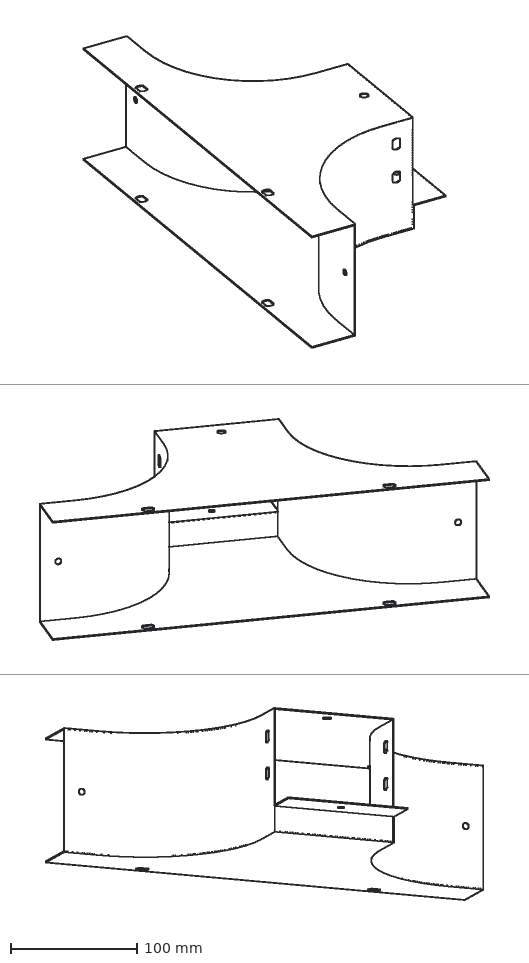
import cadquery as cq


sheet = 1.0
height = 101.0
neck_half_width = 51.0
bend_radius = 99.0
straight_length = 29.0
run_depth = 40.0
tab_reach = 30.0
tab_top = 22.0

screw_diameter = 5.0
bolt_diameter = 7.0
slot_length = 10.0
slot_width = 7.0
hole_end_distance = 15.0
edge_slot_spacing = 198.0
edge_slot_inset = 6.5
wall_slot_drop = 20.0
wall_slot_pitch = 30.0

run_half_length = neck_half_width + bend_radius + straight_length
bend_end_x = neck_half_width + bend_radius
bend_end_y = run_depth + bend_radius
branch_end_y = bend_end_y + straight_length
tab_end_y = branch_end_y + tab_reach
mid_height = height / 2
arc_cos = 0.5 ** 0.5


def tee_prism(offset, bottom_z, top_z):
    """Solid with the tee outline, its run and branch walls set inward by offset."""
    neck_x = neck_half_width - offset
    arm_y = run_depth - offset
    arc_drop = (bend_radius + offset) * arc_cos
    mid_x = bend_end_x - arc_drop
    mid_y = bend_end_y - arc_drop
    outline = (
        cq.Workplane("XY", origin=(0, 0, bottom_z))
        .moveTo(-run_half_length, 0)
        .lineTo(run_half_length, 0)
        .lineTo(run_half_length, arm_y)
        .lineTo(bend_end_x, arm_y)
        .threePointArc((mid_x, mid_y), (neck_x, bend_end_y))
        .lineTo(neck_x, branch_end_y)
        .lineTo(-neck_x, branch_end_y)
        .lineTo(-neck_x, bend_end_y)
        .threePointArc((-mid_x, mid_y), (-bend_end_x, arm_y))
        .lineTo(-run_half_length, arm_y)
        .close()
    )
    return outline.extrude(top_z - bottom_z)


def channel():
    """Top and bottom plates joined by the two bent walls, open at all three ends and along Y = 0."""
    body = tee_prism(0, 0, height)
    interior = tee_prism(sheet, sheet, height - sheet)
    return body.cut(interior)


def joining_tab():
    """Step at the branch end: an upright from the bottom plate and a tab pointing to +Y."""
    upright = cq.Workplane("XY").box(
        2 * neck_half_width, sheet, tab_top, centered=(True, False, False)
    )
    tab = cq.Workplane("XY", origin=(0, 0, tab_top - sheet)).box(
        2 * neck_half_width, tab_reach, sheet, centered=(True, False, False)
    )
    return upright.union(tab).translate((0, branch_end_y, 0))


def flatted_hole_cutter(depth):
    """Round cutter along Z with two flats parallel to X, centred on the origin."""
    cylinder = cq.Workplane("XY").circle(slot_length / 2).extrude(depth / 2, both=True)
    return cylinder.intersect(cq.Workplane("XY").box(slot_length, slot_width, depth))


def cut_edge_slots(body):
    """Slots along the open edge, through both plates."""
    cutter = flatted_hole_cutter(2 * height)
    for side in (-1, 1):
        body = body.cut(cutter.translate((side * edge_slot_spacing / 2, edge_slot_inset, mid_height)))
    return body


def cut_branch_wall_slots(body):
    """Upright slots through both branch walls, one above the other."""
    cutter = flatted_hole_cutter(2 * run_half_length).rotate((0, 0, 0), (0, 1, 0), 90)
    upper_z = height - wall_slot_drop
    for slot_z in (upper_z, upper_z - wall_slot_pitch):
        body = body.cut(cutter.translate((0, branch_end_y - hole_end_distance, slot_z)))
    return body


def run_wall_holes():
    """Screw hole at mid height near the outer end of each run wall."""
    hole_x = run_half_length - hole_end_distance
    return (
        cq.Workplane("XZ", origin=(0, run_depth, 0))
        .pushPoints([(side * hole_x, mid_height) for side in (-1, 1)])
        .circle(screw_diameter / 2)
        .extrude(sheet)
    )


def plate_hole(diameter, center_y, bottom_z):
    """Vertical hole on the symmetry plane through one sheet."""
    return (
        cq.Workplane("XY", origin=(0, center_y, bottom_z))
        .circle(diameter / 2)
        .extrude(sheet)
    )


result = channel().union(joining_tab())
result = cut_edge_slots(result)
result = cut_branch_wall_slots(result)
result = result.cut(run_wall_holes())
result = result.cut(plate_hole(bolt_diameter, branch_end_y - hole_end_distance, height - sheet))
result = result.cut(plate_hole(screw_diameter, tab_end_y - hole_end_distance, tab_top - sheet))